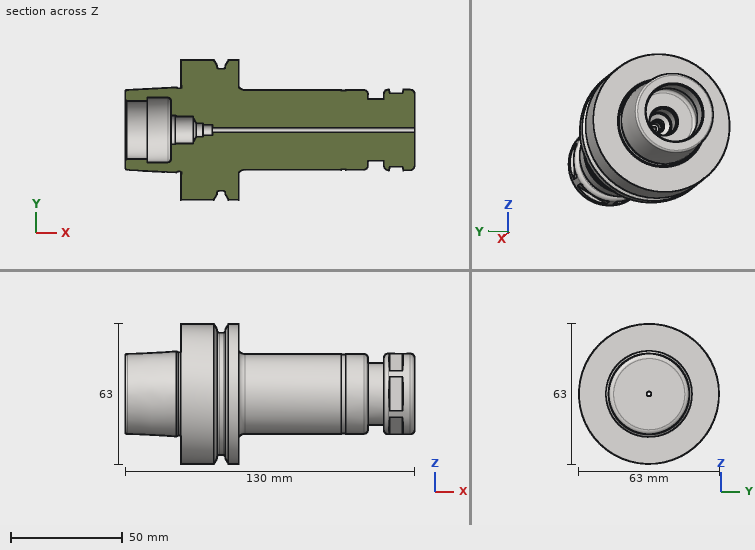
import cadquery as cq
import math


shank_length = 25.0
shank_tip_radius = 18.03
shank_tip_fillet = 0.9
taper_ratio = 1 / 9.98
taper_end_x = -2.1

undercut_radius = 18.75
undercut_start_x = -1.3
undercut_end_x = -0.5
undercut_corner_radius = 0.8
face_relief_radius = 20.2

flange_radius = 63.0 / 2
flange_length = 26.0
groove_center_x = 18.075
groove_floor_width = 3.55
groove_floor_radius = 27.5
groove_wall_radius = 28.9
groove_wall_angle = 30.0
groove_corner_fillet = 0.8

body_radius = 36.0 / 2
body_end_x = 84.0
body_end_fillet = 2.0
body_root_length = 2.7
body_root_radius = 3.4
ring_groove_start_x = 72.0
ring_groove_width = 2.0
ring_groove_depth = 0.2

neck_radius = 28.0 / 2
nut_radius = 18.18
nut_start_x = 91.0
nut_end_x = 105.0
nut_rear_fillet = 2.1
nut_front_fillet = 2.2
flat_count = 6
flat_distance = 16.5
flat_start_x = 93.8
flat_end_x = 99.4
flat_wall_run = 0.45

bore_radius = 26.0 / 2
bore_chamfer_rise = 0.5
bore_chamfer_run = 0.8
bore_lip_length = 10.0
recess_radius = 14.5
recess_floor_depth = 20.5
recess_corner_fillet = 1.5

mouth_radius = 13.32 / 2
counterbore_radius = 12.8 / 2
counterbore_depth = 2.0
plain_hole_radius = 12.0 / 2
plain_hole_depth = 8.0
cone_start_radius = 5.3
cone_half_angle = 60.0
socket_radius = 6.0 / 2
socket_depth = 3.0
tube_mouth_radius = 5.0 / 2
tube_radius = 4.5 / 2
tube_depth = 4.0
channel_radius = 2.0 / 2


def revolve_about_x(profile):
    return profile.close().revolve(360, (0, 0, 0), (1, 0, 0))


def make_shank_and_flange():
    taper_length = shank_length + taper_end_x
    taper_end_radius = shank_tip_radius + taper_length * taper_ratio / 2
    corner_x = undercut_end_x + undercut_corner_radius
    corner_radius = undercut_radius + undercut_corner_radius

    floor_start = groove_center_x - groove_floor_width / 2
    floor_end = groove_center_x + groove_floor_width / 2
    wall_run = (flange_radius - groove_wall_radius) * math.tan(math.radians(groove_wall_angle))
    floor_fillet_radius = groove_floor_radius + groove_corner_fillet

    root_arc_rise = body_root_radius - math.sqrt(body_root_radius**2 - body_root_length**2)
    root_end_x = flange_length + body_root_length

    profile = (
        cq.Workplane("XY")
        .moveTo(-shank_length, 0)
        .lineTo(-shank_length, shank_tip_radius - shank_tip_fillet)
        .radiusArc((-shank_length + shank_tip_fillet, shank_tip_radius), shank_tip_fillet)
        .lineTo(taper_end_x, taper_end_radius)
        .lineTo(undercut_start_x, undercut_radius)
        .lineTo(undercut_end_x, undercut_radius)
        .radiusArc((corner_x, corner_radius), -undercut_corner_radius)
        .lineTo(0, face_relief_radius)
        .lineTo(0, flange_radius)
        .lineTo(floor_start - wall_run, flange_radius)
        .lineTo(floor_start, groove_wall_radius)
        .lineTo(floor_start, floor_fillet_radius)
        .radiusArc((floor_start + groove_corner_fillet, groove_floor_radius), -groove_corner_fillet)
        .lineTo(floor_end - groove_corner_fillet, groove_floor_radius)
        .radiusArc((floor_end, floor_fillet_radius), -groove_corner_fillet)
        .lineTo(floor_end, groove_wall_radius)
        .lineTo(floor_end + wall_run, flange_radius)
        .lineTo(flange_length, flange_radius)
        .lineTo(flange_length, body_radius + root_arc_rise)
        .radiusArc((root_end_x, body_radius), -body_root_radius)
        .lineTo(root_end_x, 0)
    )
    return revolve_about_x(profile)


def make_body_and_neck():
    root_end_x = flange_length + body_root_length
    ring_groove_end_x = ring_groove_start_x + ring_groove_width
    profile = (
        cq.Workplane("XY")
        .moveTo(root_end_x, 0)
        .lineTo(root_end_x, body_radius)
        .lineTo(ring_groove_start_x, body_radius)
        .lineTo(ring_groove_start_x, body_radius - ring_groove_depth)
        .lineTo(ring_groove_end_x, body_radius - ring_groove_depth)
        .lineTo(ring_groove_end_x, body_radius)
        .lineTo(body_end_x - body_end_fillet, body_radius)
        .radiusArc((body_end_x, body_radius - body_end_fillet), body_end_fillet)
        .lineTo(body_end_x, neck_radius)
        .lineTo(nut_start_x, neck_radius)
        .lineTo(nut_start_x, 0)
    )
    return revolve_about_x(profile)


def make_flat_cutter():
    """Block that leaves one wrench flat on the -Y side of the nut."""
    return (
        cq.Workplane("XY")
        .moveTo(flat_start_x, -flat_distance)
        .lineTo(flat_end_x, -flat_distance)
        .lineTo(flat_end_x + flat_wall_run, -nut_radius)
        .lineTo(flat_start_x - flat_wall_run, -nut_radius)
        .close()
        .extrude(nut_radius, both=True)
    )


def make_nut():
    profile = (
        cq.Workplane("XY")
        .moveTo(nut_start_x, 0)
        .lineTo(nut_start_x, nut_radius - nut_rear_fillet)
        .radiusArc((nut_start_x + nut_rear_fillet, nut_radius), nut_rear_fillet)
        .lineTo(nut_end_x - nut_front_fillet, nut_radius)
        .radiusArc((nut_end_x, nut_radius - nut_front_fillet), nut_front_fillet)
        .lineTo(nut_end_x, 0)
    )
    nut = revolve_about_x(profile)
    cutter = make_flat_cutter()
    for index in range(flat_count):
        angle = index * 360 / flat_count
        nut = nut.cut(cutter.rotate((0, 0, 0), (1, 0, 0), angle))
    return nut


def make_recessed_bore():
    tip_x = -shank_length
    lip_end_x = tip_x + bore_lip_length
    floor_x = tip_x + recess_floor_depth
    profile = (
        cq.Workplane("XY")
        .moveTo(tip_x, 0)
        .lineTo(tip_x, bore_radius + bore_chamfer_rise)
        .lineTo(tip_x + bore_chamfer_run, bore_radius)
        .lineTo(lip_end_x, bore_radius)
        .lineTo(lip_end_x, recess_radius)
        .lineTo(floor_x - recess_corner_fillet, recess_radius)
        .radiusArc((floor_x, recess_radius - recess_corner_fillet), recess_corner_fillet)
        .lineTo(floor_x, 0)
    )
    return revolve_about_x(profile)


def make_stepped_hole():
    """Chamfered counterbore, plain hole, conical seat, socket, tube and through channel."""
    floor_x = -shank_length + recess_floor_depth
    chamfer_end_x = floor_x + mouth_radius - counterbore_radius
    counterbore_end_x = floor_x + counterbore_depth
    plain_hole_end_x = counterbore_end_x + plain_hole_depth
    cone_run = (cone_start_radius - socket_radius) / math.tan(math.radians(cone_half_angle))
    cone_end_x = plain_hole_end_x + cone_run
    socket_end_x = cone_end_x + socket_depth
    tube_start_x = socket_end_x + tube_mouth_radius - tube_radius
    tube_end_x = tube_start_x + tube_depth
    profile = (
        cq.Workplane("XY")
        .moveTo(floor_x, 0)
        .lineTo(floor_x, mouth_radius)
        .lineTo(chamfer_end_x, counterbore_radius)
        .lineTo(counterbore_end_x, counterbore_radius)
        .lineTo(counterbore_end_x, plain_hole_radius)
        .lineTo(plain_hole_end_x, plain_hole_radius)
        .lineTo(plain_hole_end_x, cone_start_radius)
        .lineTo(cone_end_x, socket_radius)
        .lineTo(socket_end_x, socket_radius)
        .lineTo(socket_end_x, tube_mouth_radius)
        .lineTo(tube_start_x, tube_radius)
        .lineTo(tube_end_x, tube_radius)
        .lineTo(tube_end_x, channel_radius)
        .lineTo(nut_end_x, channel_radius)
        .lineTo(nut_end_x, 0)
    )
    return revolve_about_x(profile)


holder = make_shank_and_flange().union(make_body_and_neck()).union(make_nut())
result = holder.cut(make_recessed_bore()).cut(make_stepped_hole())